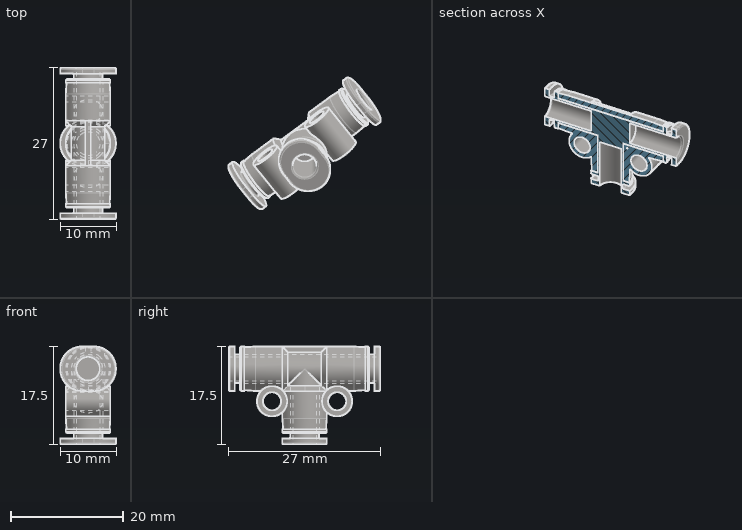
import cadquery as cq

port_reach = 13.5
body_radius = 4.0
waist_radius = 3.0
core_radius = 2.6

barrel_end = 10.77
taper_start = 8.8
taper_end_radius = 3.85
shoulder_outer = body_radius
shoulder_inner = waist_radius

rib_width = 1.0

lug_offset = 5.8
lug_radius = 2.7
lug_hole_radius = 1.6
lug_length = 2 * body_radius

ring_outer = 11.5
ring_chamfer = 0.25
flange_thickness = 1.08
flange_width = 10.0
flange_round = 0.3
flange_inner = port_reach - flange_thickness
neck_fillet = 0.1
bore_radius = 2.1
bore_mouth_round = 0.3
bore_depth = port_reach - shoulder_outer

port_turns = (90, -90, 180)


def at_ports(shape):
    """Join a copy of a +Z port shape at each of the three ports."""
    joined = cq.Workplane("XY")
    for turn in port_turns:
        joined = joined.union(shape.rotate((0, 0, 0), (1, 0, 0), turn))
    return joined


def make_barrel():
    """Waist, shoulder, barrel and end taper of one port, along +Z."""
    return (
        cq.Workplane("XZ")
        .moveTo(0, 0)
        .lineTo(waist_radius, 0)
        .lineTo(waist_radius, shoulder_inner)
        .lineTo(body_radius, shoulder_outer)
        .lineTo(body_radius, taper_start)
        .lineTo(taper_end_radius, barrel_end)
        .lineTo(0, barrel_end)
        .close()
        .revolve(360, (0, 0, 0), (0, 1, 0))
    )


def make_rib():
    """Flat-topped rib bridging the two run shoulders."""
    return cq.Workplane("XY").box(
        rib_width, 2 * shoulder_outer, body_radius, centered=(True, True, False)
    )


def lug_cylinders(radius):
    """Cylinders along X at the two lug axes."""
    return (
        cq.Workplane("YZ", origin=(-lug_length / 2, 0, 0))
        .pushPoints([(side * lug_offset, -lug_offset) for side in (-1, 1)])
        .circle(radius)
        .extrude(lug_length)
    )


def make_core():
    """Cylindrical core of one port, along +Z from the centre."""
    return cq.Workplane("XY").circle(core_radius).extrude(barrel_end)


def make_housing():
    """Tee housing with rib and mounting lugs, hollow for the insert."""
    housing = at_ports(make_barrel()).union(make_rib()).union(lug_cylinders(lug_radius))
    return housing.cut(lug_cylinders(lug_hole_radius)).cut(at_ports(make_core()))


def make_release_flange():
    """Oval flange on a filleted neck, along +Z, starting at the stop ring."""
    neck = (
        cq.Workplane("XY", origin=(0, 0, ring_outer))
        .circle(core_radius)
        .extrude(flange_inner - ring_outer)
    )
    flange = (
        cq.Workplane("XY", origin=(0, 0, flange_inner))
        .slot2D(flange_width, 2 * body_radius)
        .extrude(flange_thickness)
        .faces(">Z")
        .edges()
        .fillet(flange_round)
    )
    neck_joint = cq.selectors.NearestToPointSelector((0, 0, flange_inner))
    return neck.union(flange).edges(neck_joint).fillet(neck_fillet)


def make_stop_ring():
    """Chamfered ring seated on the end of a barrel."""
    return (
        cq.Workplane("XY", origin=(0, 0, barrel_end))
        .circle(body_radius)
        .extrude(ring_outer - barrel_end)
        .faces(">Z")
        .chamfer(ring_chamfer)
    )


def make_port_insert():
    """One arm of the insert with its blind, round-mouthed tube bore."""
    arm = make_core().union(make_stop_ring()).union(make_release_flange())
    arm = arm.faces(">Z").workplane(origin=(0, 0, port_reach)).hole(2 * bore_radius, bore_depth)
    return arm.faces(">Z").edges(cq.selectors.RadiusNthSelector(0)).fillet(bore_mouth_round)


housing = make_housing()
insert = at_ports(make_port_insert())

result = cq.Compound.makeCompound([housing.solids().val(), insert.solids().val()])